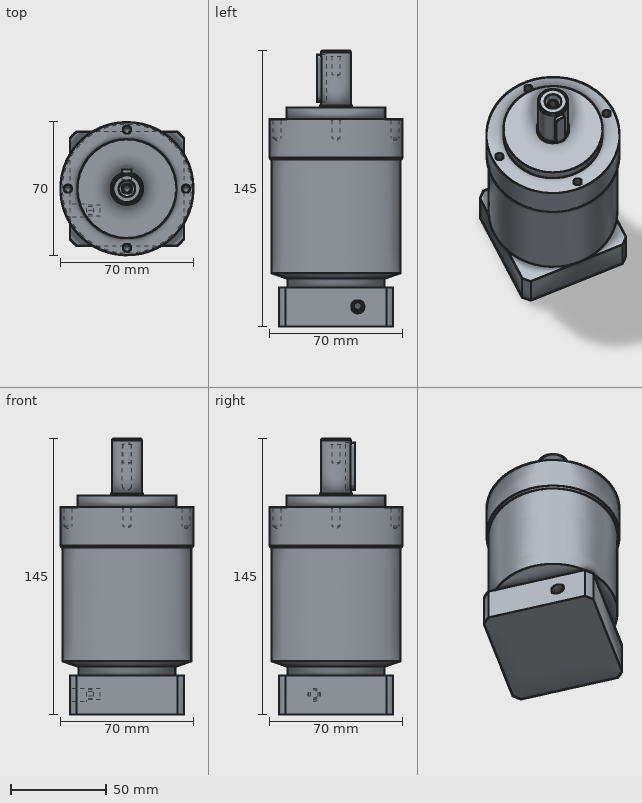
import cadquery as cq
import math

TOTAL_HEIGHT = 145.0
PLATE_HEIGHT = 20.6
NECK_TOP = 25.2
TAPER_TOP = 28.1
REAR_JOINT = 38.5
FRONT_JOINT = 68.5
FLANGE_BOTTOM = 87.7
FLANGE_TOP = 109.0
PILOT_TOP = 115.3

FLANGE_DIAMETER = 70.0
BODY_DIAMETER = 67.9
NECK_DIAMETER = 51.0
PILOT_DIAMETER = 52.0
FLANGE_CHAMFER = (FLANGE_DIAMETER - BODY_DIAMETER) / 2

MOUNT_HOLE_COUNT = 4
MOUNT_HOLE_DIAMETER = 4.2
MOUNT_HOLE_DEPTH = 10.0
MOUNT_CIRCLE_DIAMETER = 62.0
DRILL_TIP_ANGLE = 118.0

SHAFT_DIAMETER = 16.0
SHAFT_CHAMFER = 0.9
COLLAR_DIAMETER = 17.0
COLLAR_HEIGHT = 1.0
CENTRE_MOUTH_DIAMETER = 8.7
CENTRE_CONE_DIAMETER = 5.2
CENTRE_CONE_ANGLE = 60.0
CENTRE_DRILL_DIAMETER = 4.2
CENTRE_DRILL_DEPTH = 12.5

KEY_WIDTH = 5.0
KEY_LENGTH = 25.0
KEY_TOP_MARGIN = 2.0
KEY_FLOOR_Y = 5.0
KEY_OUTER_Y = 10.0

PLATE_SIDE = 60.0
PLATE_CORNER_DIAMETER = 80.0

ACCESS_DIAMETER = 6.8
ACCESS_DEPTH = 8.7
ACCESS_Y = -11.5
ACCESS_Z = 10.5

SCREW_DIAMETER = 5.8
SCREW_LENGTH = 7.2
SCREW_OFFSET_Z = 0.5
SOCKET_ACROSS_FLATS = 4.0
SOCKET_DEPTH = 3.6


def cone_length(diameter_change, included_angle):
    """Axial length over which a cone changes its diameter by the given amount."""
    return diameter_change / 2 / math.tan(math.radians(included_angle / 2))


def cylinder(diameter, bottom, top):
    """Cylinder on the main axis between two heights."""
    return cq.Workplane("XY").workplane(offset=bottom).circle(diameter / 2).extrude(top - bottom)


def mount_holes():
    """Blind drilled holes with conical tips, spaced evenly on the flange circle."""
    radius = MOUNT_HOLE_DIAMETER / 2
    floor = FLANGE_TOP - MOUNT_HOLE_DEPTH
    tip = floor - cone_length(MOUNT_HOLE_DIAMETER, DRILL_TIP_ANGLE)
    profile = [(0, tip), (radius, floor), (radius, FLANGE_TOP), (0, FLANGE_TOP)]
    hole = cq.Workplane("XZ").polyline(profile).close().revolve()
    hole = hole.translate((MOUNT_CIRCLE_DIAMETER / 2, 0, 0))
    holes = cq.Workplane("XY")
    for index in range(MOUNT_HOLE_COUNT):
        angle = 360 / MOUNT_HOLE_COUNT * index
        holes = holes.add(hole.rotate((0, 0, 0), (0, 0, 1), angle))
    return holes.combine()


def make_housing():
    """Turned gearbox housing: neck, taper, three body rings, flange and pilot."""
    neck = cylinder(NECK_DIAMETER, PLATE_HEIGHT, NECK_TOP)
    taper = (
        cq.Workplane("XY").workplane(offset=NECK_TOP).circle(NECK_DIAMETER / 2)
        .workplane(offset=TAPER_TOP - NECK_TOP).circle(BODY_DIAMETER / 2).loft()
    )
    rear_ring = cylinder(BODY_DIAMETER, TAPER_TOP, REAR_JOINT)
    gear_ring = cylinder(BODY_DIAMETER, REAR_JOINT, FRONT_JOINT)
    front_ring = cylinder(BODY_DIAMETER, FRONT_JOINT, FLANGE_BOTTOM)
    flange = cylinder(FLANGE_DIAMETER, FLANGE_BOTTOM, FLANGE_TOP).faces("<Z").chamfer(FLANGE_CHAMFER)
    pilot = cylinder(PILOT_DIAMETER, FLANGE_TOP, PILOT_TOP)
    housing = neck
    for section in (taper, rear_ring, gear_ring, front_ring, flange, pilot):
        housing = housing.union(section, clean=False)
    return housing.cut(mount_holes(), clean=False)


def make_key():
    """Parallel key standing along the shaft on its +Y side."""
    middle = TOTAL_HEIGHT - KEY_TOP_MARGIN - KEY_LENGTH / 2
    return (
        cq.Workplane("XZ", origin=(0, KEY_OUTER_Y, middle))
        .slot2D(KEY_LENGTH, KEY_WIDTH, 90).extrude(KEY_OUTER_Y - KEY_FLOOR_Y)
    )


def centre_hole():
    """Tapered centre hole in the shaft end, continued by a drilled hole with a conical tip."""
    mouth_radius = CENTRE_MOUTH_DIAMETER / 2
    cone_radius = CENTRE_CONE_DIAMETER / 2
    drill_radius = CENTRE_DRILL_DIAMETER / 2
    ledge = TOTAL_HEIGHT - cone_length(CENTRE_MOUTH_DIAMETER - CENTRE_CONE_DIAMETER, CENTRE_CONE_ANGLE)
    floor = TOTAL_HEIGHT - CENTRE_DRILL_DEPTH
    tip = floor - cone_length(CENTRE_DRILL_DIAMETER, DRILL_TIP_ANGLE)
    profile = [
        (0, tip),
        (drill_radius, floor),
        (drill_radius, ledge),
        (cone_radius, ledge),
        (mouth_radius, TOTAL_HEIGHT),
        (0, TOTAL_HEIGHT),
    ]
    return cq.Workplane("XZ").polyline(profile).close().revolve()


def make_shaft(key):
    """Output shaft with a base collar, end chamfer, centre hole and key seat."""
    shaft = cylinder(SHAFT_DIAMETER, PILOT_TOP, TOTAL_HEIGHT).faces(">Z").chamfer(SHAFT_CHAMFER)
    collar = cylinder(COLLAR_DIAMETER, PILOT_TOP, PILOT_TOP + COLLAR_HEIGHT)
    return shaft.union(collar).cut(centre_hole()).cut(key)


def side_plane(depth, rise):
    """Work plane facing +X, at a depth behind the -X plate side and a rise above the access axis."""
    return cq.Workplane("YZ", origin=(depth - PLATE_SIDE / 2, ACCESS_Y, ACCESS_Z + rise))


def screw_blank():
    """Plain screw cylinder, also the shape of its recess in the plate."""
    return side_plane(ACCESS_DEPTH, SCREW_OFFSET_Z).circle(SCREW_DIAMETER / 2).extrude(SCREW_LENGTH)


def make_plate():
    """Square motor plate with turned corners, an access hole and a screw recess."""
    plate = cq.Workplane("XY").rect(PLATE_SIDE, PLATE_SIDE).extrude(PLATE_HEIGHT)
    plate = plate.intersect(cylinder(PLATE_CORNER_DIAMETER, 0, PLATE_HEIGHT))
    access_hole = side_plane(0, 0).circle(ACCESS_DIAMETER / 2).extrude(ACCESS_DEPTH)
    return plate.cut(access_hole).cut(screw_blank())


def make_screw():
    """Screw flush with the access hole floor, its hexagon socket standing on a corner."""
    across_corners = SOCKET_ACROSS_FLATS / math.cos(math.radians(30))
    socket = (
        side_plane(ACCESS_DEPTH, SCREW_OFFSET_Z).transformed(rotate=(0, 0, 90))
        .polygon(6, across_corners).extrude(SOCKET_DEPTH)
    )
    return screw_blank().cut(socket)


housing = make_housing()
key = make_key()
shaft = make_shaft(key)
plate = make_plate()
screw = make_screw()

result = cq.Compound.makeCompound([housing.val(), shaft.val(), key.val(), plate.val(), screw.val()])